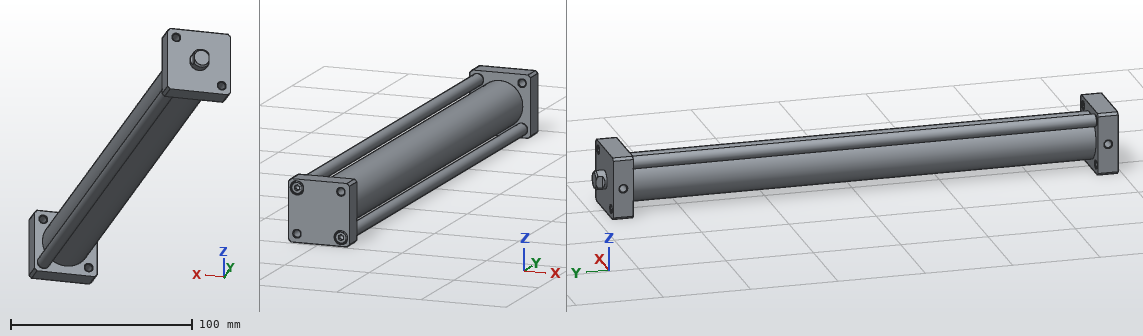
import cadquery as cq
import math

total_length = 295.0
stud_length = 6.0
plate_width = 36.0
plate_thickness = 11.5
plate_chamfer = 1.5
rear_face = total_length - stud_length
rear_plate_start = rear_face - plate_thickness
span_length = rear_plate_start - plate_thickness

barrel_diameter = 26.8
spigot_diameter = 2.0
spigot_length = 8.8

corner_offset = 13.0
hole_diameter = 4.0
hole_mouth_diameter = 5.0

rod_diameter = 7.0
rod_end_chamfer = 0.5
shank_diameter = 4.0
counterbore_diameter = 8.0
head_diameter = 7.5
head_length = 4.0
head_chamfer = 0.5
socket_width = 3.0
socket_depth = 2.0
drill_tip_angle = 120.0

port_diameter = 4.0
port_mouth_diameter = 5.0

stud_diameter = 10.5
stud_tip_chamfer = 0.95
stud_collar_length = 1.2
stud_width_over_flats = 8.3

both_signs = (-1, 1)


def cylinder_y(diameter, start, length, x=0, z=0):
    """Cylinder along +Y that begins at the given Y."""
    plane = cq.Plane(origin=(x, start, z), xDir=(0, 0, 1), normal=(0, 1, 0))
    return cq.Workplane(plane).circle(diameter / 2).extrude(length)


def cone(origin, axis, diameter, end_diameter, length):
    """Cone or truncated cone that narrows along the axis."""
    return cq.Workplane(
        cq.Solid.makeCone(diameter / 2, end_diameter / 2, length, cq.Vector(*origin), cq.Vector(*axis))
    )


def cut_through_hole(plate, start, x, z):
    """Hole along Y with a 45 degree countersink at both ends."""
    sink = (hole_mouth_diameter - hole_diameter) / 2
    end = start + plate_thickness
    plate = plate.cut(cylinder_y(hole_diameter, start, plate_thickness, x, z))
    plate = plate.cut(cone((x, start, z), (0, 1, 0), hole_mouth_diameter, hole_diameter, sink))
    return plate.cut(cone((x, end, z), (0, -1, 0), hole_mouth_diameter, hole_diameter, sink))


def cut_port(plate, start):
    """Port from the -X side to the axis of the plate, with a 45 degree countersink."""
    sink = (port_mouth_diameter - port_diameter) / 2
    mouth = (-plate_width / 2, start + plate_thickness / 2, 0)
    plane = cq.Plane(origin=mouth, xDir=(0, 1, 0), normal=(1, 0, 0))
    plate = plate.cut(cq.Workplane(plane).circle(port_diameter / 2).extrude(plate_width / 2))
    return plate.cut(cone(mouth, (1, 0, 0), port_mouth_diameter, port_diameter, sink))


def make_plate(start, spigot_start):
    """Square end plate with chamfered corners, two through holes, a port and a spigot hole."""
    plate = (
        cq.Workplane("XY")
        .box(plate_width, plate_thickness, plate_width, centered=(True, False, True))
        .edges("|Y")
        .chamfer(plate_chamfer)
        .translate((0, start, 0))
    )
    for sign in both_signs:
        plate = cut_through_hole(plate, start, sign * corner_offset, sign * corner_offset)
    plate = cut_port(plate, start)
    return plate.cut(cylinder_y(spigot_diameter, spigot_start, spigot_length))


def cut_rod_seat(plate, x, z):
    """Shank hole and head counterbore for one tie rod in the front plate."""
    plate = plate.cut(cylinder_y(shank_diameter, 0, plate_thickness, x, z))
    return plate.cut(cylinder_y(counterbore_diameter, 0, head_length, x, z))


def make_barrel():
    """Round barrel with a spigot at both ends."""
    barrel = cylinder_y(barrel_diameter, plate_thickness, span_length)
    spigots = cylinder_y(spigot_diameter, plate_thickness - spigot_length, span_length + 2 * spigot_length)
    return barrel.union(spigots)


def cut_hex_socket(rod, x, z):
    """Hexagonal socket with corners toward +X and -X and a conical drilled bottom."""
    plane = cq.Plane(origin=(x, 0, z), xDir=(1, 0, 0), normal=(0, 1, 0))
    hexagon = cq.Workplane(plane).polygon(6, socket_width, circumscribed=True).extrude(socket_depth)
    tip_depth = socket_width / 2 / math.tan(math.radians(drill_tip_angle / 2))
    return rod.cut(hexagon).cut(cone((x, socket_depth, z), (0, 1, 0), socket_width, 0, tip_depth))


def make_tie_rod(x, z):
    """Tie rod with its shank and its socket head as one solid."""
    rod = cylinder_y(rod_diameter, plate_thickness, span_length, x, z).edges().chamfer(rod_end_chamfer)
    shank = cylinder_y(shank_diameter, 0, plate_thickness, x, z)
    head = cylinder_y(head_diameter, 0, head_length, x, z).faces("<Y").chamfer(head_chamfer)
    return cut_hex_socket(rod.union(shank).union(head), x, z)


def make_stud():
    """Chamfered stud with two flats that face -X and +X."""
    stud = cylinder_y(stud_diameter, rear_face, stud_length).faces(">Y").chamfer(stud_tip_chamfer)
    flat_x = stud_width_over_flats / 2
    ramp = stud_diameter / 2 - flat_x
    ramp_start = rear_face + stud_collar_length
    for side in both_signs:
        cutter = (
            cq.Workplane("XY")
            .moveTo(side * (flat_x + ramp), ramp_start)
            .lineTo(side * flat_x, ramp_start + ramp)
            .lineTo(side * flat_x, total_length)
            .lineTo(side * (flat_x + ramp), total_length)
            .close()
            .extrude(stud_diameter / 2, both=True)
        )
        stud = stud.cut(cutter)
    return stud


rod_places = [(sign * corner_offset, -sign * corner_offset) for sign in both_signs]

front_plate = make_plate(0, plate_thickness - spigot_length)
for x, z in rod_places:
    front_plate = cut_rod_seat(front_plate, x, z)
rear_plate = make_plate(rear_plate_start, rear_plate_start)
barrel = make_barrel()
stud = make_stud()
tie_rods = [make_tie_rod(x, z) for x, z in rod_places]

result = cq.Compound.makeCompound(
    [front_plate.val(), rear_plate.val(), barrel.val(), stud.val(), *[rod.val() for rod in tie_rods]]
)